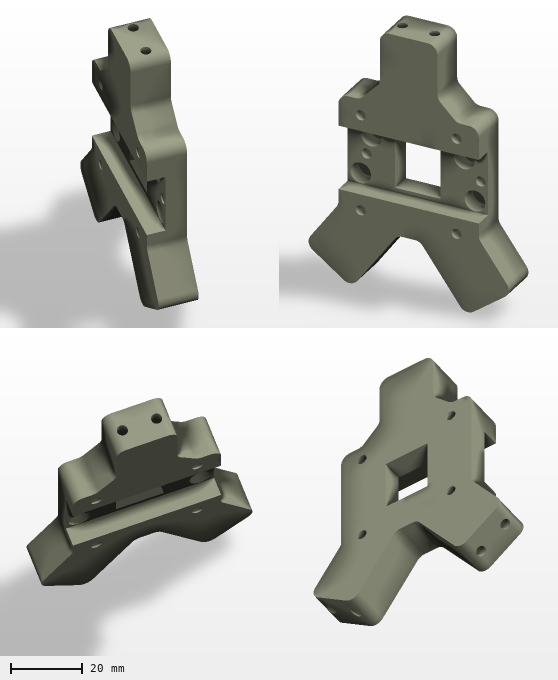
import cadquery as cq
import math

thickness = 12.0
body_width = 44.1
shoulder_height = 20.1
body_bottom = -20.2
corner_radius = 3.0

arm_length = 43.0
arm_width = 18.1
arm_angles = (0, 144, -144)
head_flare = 6.15

screw_diameter = 3.1
arm_screw_spacing = 10.15
arm_screw_depth = 10.0

mount_spacing = 30.1

channel_height = 20.1
channel_depth = 5.6
window_width = 14.2
window_height = 17.1

pocket_diameter = 6.5
pocket_centers = [(-14.6, 5.9), (14.6, 5.9), (-17.9, -6.55), (17.9, -6.55)]
pin_centers = [(-16.05, 0), (19.75, 0)]
blind_depth = 5.0

front = -thickness / 2
channel_floor = front + channel_depth


def front_plane(y):
    """XZ sketch plane at the given y, facing +Y; its sketch Y axis points along -Z."""
    return cq.Workplane(cq.Plane(origin=(0, y, 0), xDir=(1, 0, 0), normal=(0, 1, 0)))


def drill(centers, diameter, y, depth):
    """Cylinders at (x, z) centres, running from y toward +Y."""
    sketch_points = [(x, -z) for x, z in centers]
    return front_plane(y).pushPoints(sketch_points).circle(diameter / 2).extrude(depth)


def arm_point(angle, along, across):
    """(x, z) of a point on an arm, measured along and clockwise across it."""
    a = math.radians(angle)
    x = along * math.sin(a) + across * math.cos(a)
    z = along * math.cos(a) - across * math.sin(a)
    return x, z


def plate():
    """Y-shaped plate with every outline corner rounded."""
    half_arm = arm_width / 2
    half_body = body_width / 2
    leg = math.radians(arm_angles[1])
    leg_top = (half_body * math.cos(leg) + half_arm) / math.sin(leg)
    crotch = (half_arm + body_bottom * math.sin(leg)) / math.cos(leg)
    right_side = [
        (half_arm, arm_length),
        (half_arm, shoulder_height + head_flare),
        (half_arm + head_flare, shoulder_height),
        (half_body, shoulder_height),
        (half_body, leg_top),
        arm_point(arm_angles[1], arm_length, -half_arm),
        arm_point(arm_angles[1], arm_length, half_arm),
        (crotch, body_bottom),
    ]
    left_side = [(-x, z) for x, z in reversed(right_side)]
    outline = [(x, -z) for x, z in right_side + left_side]
    blank = front_plane(front).polyline(outline).close().extrude(thickness)
    return blank.edges("|Y").fillet(corner_radius)


def arm_screw_holes(angle):
    """Pair of blind screw holes in the end face of one arm."""
    offset = arm_screw_spacing / 2
    holes = (
        cq.Workplane("XY", origin=(0, 0, arm_length - arm_screw_depth))
        .pushPoints([(-offset, 0), (offset, 0)])
        .circle(screw_diameter / 2)
        .extrude(arm_screw_depth)
    )
    return holes.rotate((0, 0, 0), (0, 1, 0), angle)


channel = front_plane(front).rect(body_width, channel_height).extrude(channel_depth)
window = front_plane(front).rect(window_width, window_height).extrude(thickness)

mount_offset = mount_spacing / 2
mount_centers = [(x, z) for x in (-mount_offset, mount_offset) for z in (-mount_offset, mount_offset)]

result = plate().cut(channel).cut(window)
result = result.cut(drill(mount_centers, screw_diameter, front, thickness))
result = result.cut(drill(pocket_centers, pocket_diameter, channel_floor, blind_depth))
result = result.cut(drill(pin_centers, screw_diameter, channel_floor, blind_depth))
for arm_angle in arm_angles:
    result = result.cut(arm_screw_holes(arm_angle))